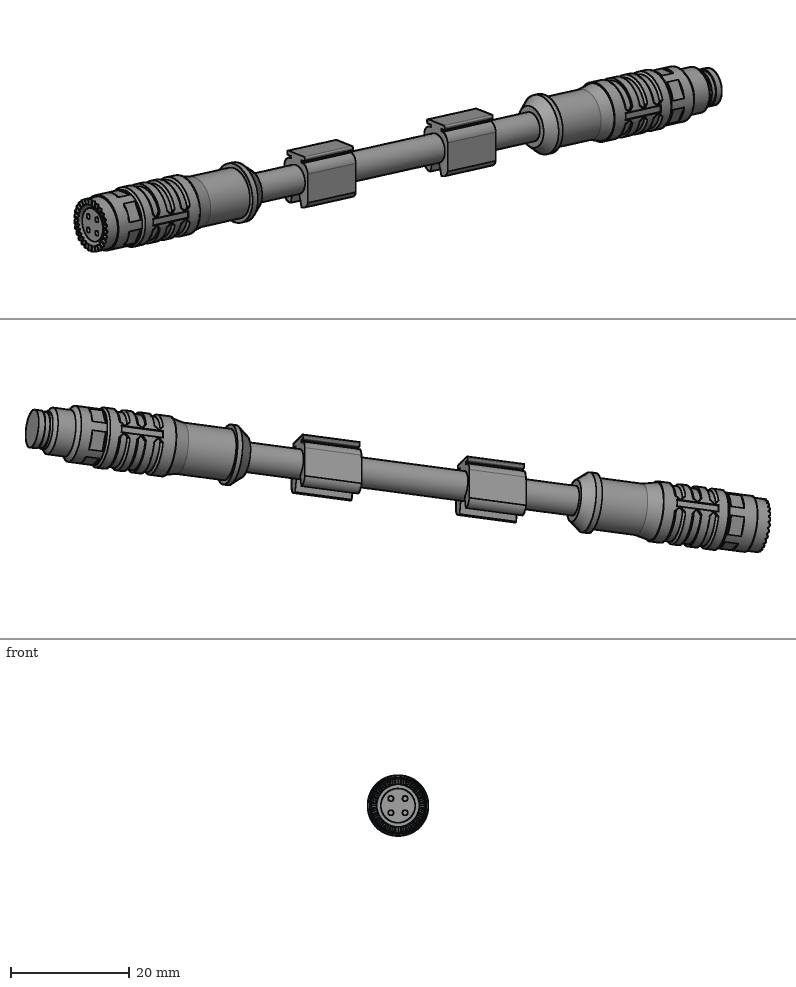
import cadquery as cq
import math

LENGTH = 131.25
PLUG_TIP = LENGTH / 2
SOCKET_FACE = -LENGTH / 2

CABLE_D = 5.1
CABLE_INSET = 30.0
SLEEVE_D = 8.8
COLLAR_D = 10.3
NECK_D = 9.6
SHOULDER_D = 9.9
TAIL_D = 7.2

TIP_D = 6.5
NOSE_D = 8.0
SEAL_D = 6.1
SEAL_START = 1.2
SEAL_END = 2.1

SOCKET_D = 9.1
BORE_D = 7.2
INSERT_D = 5.8
BORE_DEPTH = 5.0
INSERT_RECESS = 0.5
CONTACT_D = 0.9
CONTACT_DEPTH = 4.0
CONTACT_OFFSET = 1.2
RIM_NOTCH_COUNT = 28
RIM_NOTCH_DEPTH = 0.3
RIM_NOTCH_WIDTH = 0.7

FLAT_COUNT = 6
FLATS_ACROSS = 9.0
PLUG_FLATS = (9.1, 11.5)
SOCKET_FLATS = (4.75, 7.15)

GROOVES = [
    (0.0, 1.95, True, True),
    (3.2, 4.85, True, False),
    (6.35, 7.9, False, True),
]
GROOVE_FLOOR_D = 9.5
GROOVE_SLOPE = 0.4
GROOVE_END_Z = 1.5
PLUG_GRIP_START = PLUG_TIP - 13.85
SOCKET_GRIP_START = SOCKET_FACE + 17.4
SLOT_WIDTH = 1.2
SLOT_FLOOR_X = 4.8

CLIP_LENGTH = 10.2
CLIP_CENTRES = (PLUG_TIP - 53.0, PLUG_TIP - 82.6)
CLIP_HALF_WIDTH = 3.3
CLIP_TOP = 4.55
CLIP_BOTTOM = -4.55
PLATE_HALF_WIDTH = 2.5
PLATE_UNDERSIDE = 3.75
PLATE_ROUND = 0.35
CLIP_NECK_HALF_WIDTH = 1.5
SHOULDER_INNER_X = 2.0
SHOULDER_TOP = 3.35
WALL_TOP = 1.8
WALL_BOTTOM = -3.35
LEG_TIP_X = 1.5
MOUTH_X = 0.3
CORNER_X = 2.85
SHOULDER_MID_Z = 2.8
FOOT_MID_Z = -4.1

BEYOND = 2 * COLLAR_D


def turned(stations, end_y, inward):
    """Solid of revolution about Y from (distance from the end, diameter) stations.

    inward is -1 or +1: the direction along Y that leads from the end into the part.
    """
    points = [(end_y + inward * s, d / 2) for s, d in stations]
    outline = [(points[0][0], 0)] + points + [(points[-1][0], 0)]
    return cq.Workplane("YZ").polyline(outline).close().revolve(360, (0, 0), (1, 0))


def plug_body():
    return turned(
        [
            (0.0, TIP_D),
            (SEAL_START, TIP_D),
            (SEAL_START, SEAL_D),
            (SEAL_END, SEAL_D),
            (SEAL_END, TIP_D),
            (2.55, TIP_D),
            (3.2, NOSE_D),
            (6.4, NOSE_D),
            (7.1, NECK_D),
            (11.8, NECK_D),
            (12.2, COLLAR_D),
            (24.1, COLLAR_D),
            (24.1, SHOULDER_D),
            (26.5, SLEEVE_D),
            (35.1, SLEEVE_D),
            (35.1, COLLAR_D),
            (36.0, COLLAR_D),
            (38.0, TAIL_D),
        ],
        PLUG_TIP,
        -1,
    )


def socket_body():
    return turned(
        [
            (0.0, SOCKET_D),
            (2.4, SOCKET_D),
            (2.4, NECK_D),
            (7.4, NECK_D),
            (7.8, COLLAR_D),
            (19.4, COLLAR_D),
            (19.4, SHOULDER_D),
            (22.1, SLEEVE_D),
            (30.5, SLEEVE_D),
            (30.5, COLLAR_D),
            (31.6, COLLAR_D),
            (33.7, TAIL_D),
        ],
        SOCKET_FACE,
        1,
    )


def cylinder_y(diameter, start_y, end_y):
    return cq.Workplane("XZ", origin=(0, start_y, 0)).circle(diameter / 2).extrude(start_y - end_y)


def hexagon_cutter(start_y, end_y):
    """Material outside the hexagon whose flats face +Z, -Z and every 60 degrees between."""
    across_corners = FLATS_ACROSS / math.cos(math.pi / FLAT_COUNT)
    plane = cq.Workplane("XZ", origin=(0, start_y, 0))
    return (
        plane.circle(BEYOND)
        .polygon(FLAT_COUNT, across_corners)
        .extrude(start_y - end_y)
    )


def groove_cutter(start_y, groove):
    """Ring groove with pointed ends that stop beside the grip slots at -X and +X."""
    start, end, sloped_start, sloped_end = groove
    top_y = start_y - start
    bottom_y = start_y - end
    floor_top = top_y - (GROOVE_SLOPE if sloped_start else 0)
    floor_bottom = bottom_y + (GROOVE_SLOPE if sloped_end else 0)
    floor_r = GROOVE_FLOOR_D / 2
    collar_r = COLLAR_D / 2
    section = [
        (floor_top, floor_r),
        (top_y, collar_r),
        (top_y, BEYOND),
        (bottom_y, BEYOND),
        (bottom_y, collar_r),
        (floor_bottom, floor_r),
    ]
    ring = cq.Workplane("YZ").polyline(section).close().revolve(360, (0, 0), (1, 0))
    arms = cq.Workplane("XY")
    for side in (1, -1):
        outline = [
            (top_y, side * BEYOND),
            (top_y, side * GROOVE_END_Z),
            ((top_y + bottom_y) / 2, side * SLOT_WIDTH / 2),
            (bottom_y, side * GROOVE_END_Z),
            (bottom_y, side * BEYOND),
        ]
        arms = arms.add(cq.Workplane("YZ").polyline(outline).close().extrude(BEYOND, both=True))
    return ring.intersect(arms.combine())


def cut_grip(body, start_y):
    for groove in GROOVES:
        body = body.cut(groove_cutter(start_y, groove))
    slot_top = start_y - GROOVES[0][0] - GROOVE_SLOPE
    slot_bottom = start_y - GROOVES[-1][1]
    slot_centre = (slot_top + slot_bottom) / 2
    for side in (1, -1):
        slot = cq.Workplane("XY").box(COLLAR_D, slot_top - slot_bottom, SLOT_WIDTH)
        body = body.cut(slot.translate((side * (SLOT_FLOOR_X + COLLAR_D / 2), slot_centre, 0)))
    return body


def cut_socket_face(body):
    bore_floor = SOCKET_FACE + BORE_DEPTH
    insert_face = SOCKET_FACE + INSERT_RECESS
    body = body.cut(cylinder_y(BORE_D, SOCKET_FACE, bore_floor))
    body = body.union(cylinder_y(INSERT_D, insert_face, bore_floor))
    for x in (-CONTACT_OFFSET, CONTACT_OFFSET):
        for z in (-CONTACT_OFFSET, CONTACT_OFFSET):
            hole = cylinder_y(CONTACT_D, insert_face, insert_face + CONTACT_DEPTH)
            body = body.cut(hole.translate((x, 0, z)))
    return body.cut(rim_notch_cutter())


def rim_notch_cutter():
    """Radial V-notches all round the rim of the socket face."""
    inner_r = BORE_D / 2 - RIM_NOTCH_DEPTH
    outline = [
        (-RIM_NOTCH_WIDTH / 2, SOCKET_FACE),
        (RIM_NOTCH_WIDTH / 2, SOCKET_FACE),
        (0, SOCKET_FACE + RIM_NOTCH_DEPTH),
    ]
    notch = cq.Workplane("XY", origin=(0, 0, inner_r)).polyline(outline).close().extrude(COLLAR_D)
    cutter = cq.Workplane("XY")
    for index in range(RIM_NOTCH_COUNT):
        angle = 360 / RIM_NOTCH_COUNT * index
        cutter = cutter.add(notch.rotate((0, 0, 0), (0, 1, 0), angle))
    return cutter.combine()


def clip(centre_y):
    """Snap-on clip: flat plate on a neck, round-shouldered body and legs open below."""
    end_y = centre_y + CLIP_LENGTH / 2
    plane = cq.Workplane("XZ", origin=(0, end_y, 0))
    body = (
        plane.moveTo(-SHOULDER_INNER_X, SHOULDER_TOP)
        .lineTo(SHOULDER_INNER_X, SHOULDER_TOP)
        .threePointArc((CORNER_X, SHOULDER_MID_Z), (CLIP_HALF_WIDTH, WALL_TOP))
        .lineTo(CLIP_HALF_WIDTH, WALL_BOTTOM)
        .threePointArc((CORNER_X, FOOT_MID_Z), (LEG_TIP_X, CLIP_BOTTOM))
        .lineTo(MOUTH_X, 0)
        .lineTo(-MOUTH_X, 0)
        .lineTo(-LEG_TIP_X, CLIP_BOTTOM)
        .threePointArc((-CORNER_X, FOOT_MID_Z), (-CLIP_HALF_WIDTH, WALL_BOTTOM))
        .lineTo(-CLIP_HALF_WIDTH, WALL_TOP)
        .threePointArc((-CORNER_X, SHOULDER_MID_Z), (-SHOULDER_INNER_X, SHOULDER_TOP))
        .close()
        .extrude(CLIP_LENGTH)
    )
    plate_height = CLIP_TOP - PLATE_UNDERSIDE
    plate = (
        cq.Workplane("XY")
        .box(2 * PLATE_HALF_WIDTH, CLIP_LENGTH, plate_height)
        .edges("|Y")
        .fillet(PLATE_ROUND)
        .translate((0, centre_y, PLATE_UNDERSIDE + plate_height / 2))
    )
    neck_height = CLIP_TOP - PLATE_ROUND - WALL_TOP
    neck = (
        cq.Workplane("XY")
        .box(2 * CLIP_NECK_HALF_WIDTH, CLIP_LENGTH, neck_height)
        .translate((0, centre_y, WALL_TOP + neck_height / 2))
    )
    return body.union(plate).union(neck)


plug = cut_grip(plug_body(), PLUG_GRIP_START)
plug = plug.cut(hexagon_cutter(PLUG_TIP - PLUG_FLATS[0], PLUG_TIP - PLUG_FLATS[1]))

socket = cut_grip(socket_body(), SOCKET_GRIP_START)
socket = socket.cut(hexagon_cutter(SOCKET_FACE + SOCKET_FLATS[1], SOCKET_FACE + SOCKET_FLATS[0]))
socket = cut_socket_face(socket)

cable = cylinder_y(CABLE_D, PLUG_TIP - CABLE_INSET, SOCKET_FACE + CABLE_INSET)
result = plug.union(socket).union(cable)
for clip_centre in CLIP_CENTRES:
    result = result.union(clip(clip_centre))